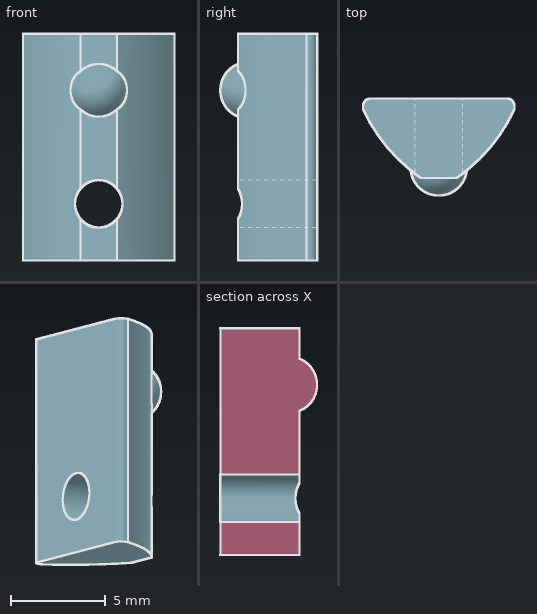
import cadquery as cq
import math

length = 12.0
width = 8.02
depth = 4.2
nose_width = 1.92
flank_radius = 9.0
corner_radius = 0.41
edge_wall_depth = 0.58

ball_radius = 1.5
ball_protrusion = 0.95
hole_diameter = 2.5
feature_inset = length / 4


def make_body():
    side_x = width / 2
    nose_x = nose_width / 2
    corner_x = side_x - corner_radius

    corner_mid_offset = corner_radius * math.sqrt(0.5)
    mid_x = corner_x + corner_mid_offset
    mid_y = corner_mid_offset - corner_radius

    return (
        cq.Workplane("XY")
        .moveTo(-corner_x, 0)
        .lineTo(corner_x, 0)
        .threePointArc((mid_x, mid_y), (side_x, -corner_radius))
        .lineTo(side_x, -edge_wall_depth)
        .radiusArc((nose_x, -depth), flank_radius)
        .lineTo(-nose_x, -depth)
        .radiusArc((-side_x, -edge_wall_depth), flank_radius)
        .lineTo(-side_x, -corner_radius)
        .threePointArc((-mid_x, mid_y), (-corner_x, 0))
        .close()
        .extrude(length)
    )


def make_ball():
    center_y = ball_radius - depth - ball_protrusion
    return cq.Workplane("XY").sphere(ball_radius).translate((0, center_y, length - feature_inset))


def make_hole():
    return (
        cq.Workplane("XZ")
        .center(0, feature_inset)
        .circle(hole_diameter / 2)
        .extrude(depth)
    )


result = make_body().union(make_ball()).cut(make_hole())